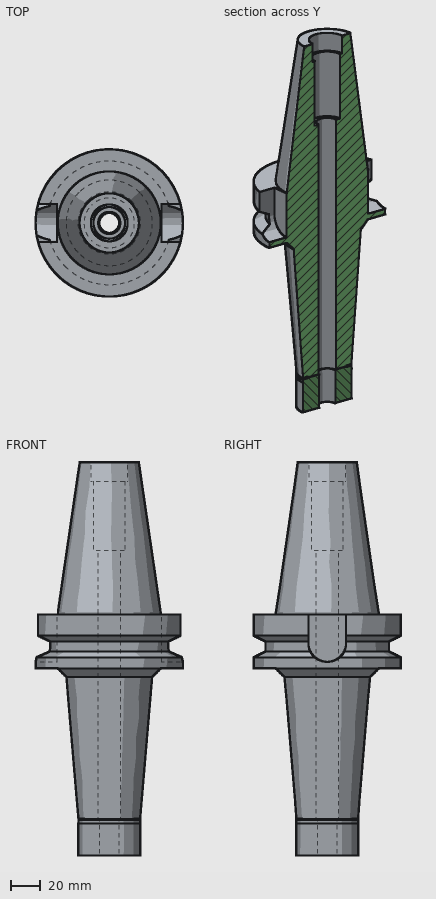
import cadquery as cq

GAUGE_RADIUS = 69.85 / 2
TAPER_LENGTH = 101.8
TAPER_RATIO = 7 / 24
TAPER_TIP_RADIUS = GAUGE_RADIUS - TAPER_LENGTH * TAPER_RATIO / 2

FLANGE_RADIUS = 50.0
FLANGE_TOP_Z = -1.5
FLANGE_BOTTOM_Z = -38.0

GROOVE_CENTER_Z = -23.2
GROOVE_FLOOR_RADIUS = 42.0
GROOVE_FLOOR_WIDTH = 6.6
GROOVE_MOUTH_WIDTH = 14.6

SLOT_WIDTH = 25.7
SLOT_FLOOR_X = 35.4
SLOT_BOTTOM_Z = -33.6

SHOULDER_RADIUS = 35.0
NOSE_TOP_RADIUS = 29.15
NOSE_TOP_Z = FLANGE_BOTTOM_Z - (SHOULDER_RADIUS - NOSE_TOP_RADIUS)
NOSE_TIP_RADIUS = 21.0
NOSE_BOTTOM_Z = -140.0

SPIGOT_RADIUS = 17.0
GAP_WIDTH = 0.7

NUT_TOP_Z = NOSE_BOTTOM_Z - GAP_WIDTH
NUT_BOTTOM_Z = -165.0
NUT_RADIUS = 21.15
NUT_RIM_RADIUS = 21.05
NUT_RIM_HEIGHT = 2.3
NUT_BORE_RADIUS = 6.75

COUNTERBORE_RADIUS = 12.5
COUNTERBORE_DEPTH = 13.0
DRAWBAR_BORE_RADIUS = 10.75
DRAWBAR_BORE_DEPTH = 60.0
HOLDER_BORE_RADIUS = 7.5


def revolved(profile):
    """Turn an outline of (radius, z) points round the Z axis."""
    return cq.Workplane("XZ").polyline(profile).close().revolve(360, (0, 0, 0), (0, 1, 0))


def make_slot():
    """Cutter for the +X drive slot: straight sides, round lower end."""
    arc_z = SLOT_BOTTOM_Z + SLOT_WIDTH / 2
    half = SLOT_WIDTH / 2
    return (
        cq.Workplane("YZ", origin=(SLOT_FLOOR_X, 0, 0))
        .moveTo(-half, 0)
        .lineTo(-half, arc_z)
        .threePointArc((0, SLOT_BOTTOM_Z), (half, arc_z))
        .lineTo(half, 0)
        .close()
        .extrude(FLANGE_RADIUS)
    )


def make_holder():
    outline = [
        (HOLDER_BORE_RADIUS, NUT_TOP_Z),
        (SPIGOT_RADIUS, NUT_TOP_Z),
        (SPIGOT_RADIUS, NOSE_BOTTOM_Z),
        (NOSE_TIP_RADIUS, NOSE_BOTTOM_Z),
        (NOSE_TOP_RADIUS, NOSE_TOP_Z),
        (SHOULDER_RADIUS, FLANGE_BOTTOM_Z),
        (FLANGE_RADIUS, FLANGE_BOTTOM_Z),
        (FLANGE_RADIUS, GROOVE_CENTER_Z - GROOVE_MOUTH_WIDTH / 2),
        (GROOVE_FLOOR_RADIUS, GROOVE_CENTER_Z - GROOVE_FLOOR_WIDTH / 2),
        (GROOVE_FLOOR_RADIUS, GROOVE_CENTER_Z + GROOVE_FLOOR_WIDTH / 2),
        (FLANGE_RADIUS, GROOVE_CENTER_Z + GROOVE_MOUTH_WIDTH / 2),
        (FLANGE_RADIUS, FLANGE_TOP_Z),
        (GAUGE_RADIUS, FLANGE_TOP_Z),
        (GAUGE_RADIUS, 0),
        (TAPER_TIP_RADIUS, TAPER_LENGTH),
        (COUNTERBORE_RADIUS, TAPER_LENGTH),
        (COUNTERBORE_RADIUS, TAPER_LENGTH - COUNTERBORE_DEPTH),
        (DRAWBAR_BORE_RADIUS, TAPER_LENGTH - COUNTERBORE_DEPTH),
        (DRAWBAR_BORE_RADIUS, TAPER_LENGTH - DRAWBAR_BORE_DEPTH),
        (HOLDER_BORE_RADIUS, TAPER_LENGTH - DRAWBAR_BORE_DEPTH),
    ]
    holder = revolved(outline)
    slot = make_slot()
    for turn in (0, 180):
        holder = holder.cut(slot.rotate((0, 0, 0), (0, 0, 1), turn))
    return holder


def make_nut():
    rim_bottom_z = NUT_TOP_Z - NUT_RIM_HEIGHT
    outline = [
        (NUT_BORE_RADIUS, NUT_BOTTOM_Z),
        (NUT_RADIUS, NUT_BOTTOM_Z),
        (NUT_RADIUS, rim_bottom_z),
        (NUT_RIM_RADIUS, rim_bottom_z),
        (NUT_RIM_RADIUS, NUT_TOP_Z),
        (NUT_BORE_RADIUS, NUT_TOP_Z),
    ]
    return revolved(outline)


holder = make_holder()
nut = make_nut()

result = cq.Compound.makeCompound([holder.val(), nut.val()])